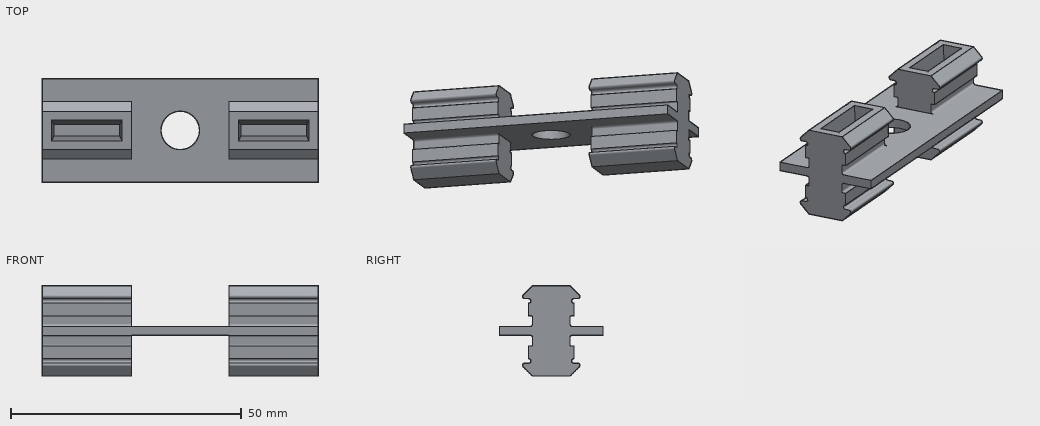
import cadquery as cq
import math

length = 60.0
web_width = 22.5
web_thickness = 2.0
hole_diameter = 8.3

height = 19.6
block_length = 19.45
neck_half_width = 4.1
body_half_width = 5.0
body_bottom = 3.25
tip_half_width = 6.25
head_height = 2.8
tip_radius = 0.5
groove_radius = 0.5
groove_inset = 0.05
web_fillet = 0.5
body_fillet = 0.25

pocket_margin = 2.05
pocket_width = 4.5
pocket_floor_length = 14.3
pocket_floor_width = 2.5
pocket_floor_thickness = 2.0

half_height = height / 2
pocket_depth = height - pocket_floor_thickness
web_top = web_thickness / 2
tip_underside = half_height - head_height


def upper_profile():
    """Quarter of the block cross-section, on the +Y side above mid-height."""
    diagonal = math.sqrt(0.5)
    tip_y = tip_half_width - tip_radius
    tip_z = tip_underside + tip_radius
    shoulder_y = tip_y + tip_radius * diagonal
    shoulder_z = tip_z + tip_radius * diagonal
    top_half_width = shoulder_y - (half_height - shoulder_z)
    groove_centre = body_half_width - groove_inset
    groove_bottom = tip_underside - 2 * groove_radius

    return (
        cq.Workplane("YZ")
        .lineTo(neck_half_width, 0)
        .lineTo(neck_half_width, body_bottom - body_fillet)
        .radiusArc((neck_half_width + body_fillet, body_bottom), body_fillet)
        .lineTo(body_half_width, body_bottom)
        .lineTo(body_half_width, groove_bottom)
        .lineTo(groove_centre, groove_bottom)
        .threePointArc(
            (groove_centre - groove_radius, tip_underside - groove_radius),
            (groove_centre, tip_underside),
        )
        .lineTo(tip_y, tip_underside)
        .threePointArc((tip_half_width, tip_z), (shoulder_y, shoulder_z))
        .lineTo(top_half_width, half_height)
        .lineTo(0, half_height)
        .close()
    )


def web_corner_fillet():
    """Concave fillet between the block neck and the top of the web."""
    return (
        cq.Workplane("YZ")
        .moveTo(neck_half_width, web_top)
        .lineTo(neck_half_width + web_fillet, web_top)
        .radiusArc((neck_half_width, web_top + web_fillet), web_fillet)
        .close()
    )


def pocket():
    """Tapered pocket that narrows from the top face down to its flat floor."""
    return (
        cq.Workplane("XY", origin=(block_length / 2, 0, half_height))
        .rect(block_length - 2 * pocket_margin, pocket_width)
        .workplane(offset=-pocket_depth)
        .rect(pocket_floor_length, pocket_floor_width)
        .loft()
    )


def clip_block():
    """One complete block, spanning X from 0 to block_length."""
    quarter = upper_profile().extrude(block_length)
    quarter = quarter.union(web_corner_fillet().extrude(block_length))
    upper = quarter.union(quarter.mirror("XZ"))
    return upper.union(upper.mirror("XY"))


web = cq.Workplane("XY").box(length, web_width, web_thickness)
hole = cq.Workplane("XY").circle(hole_diameter / 2).extrude(web_thickness, both=True)

result = web.cut(hole)
block = clip_block()
cavity = pocket()
for block_start in (-length / 2, length / 2 - block_length):
    result = result.union(block.translate((block_start, 0, 0)))
    result = result.cut(cavity.translate((block_start, 0, 0)))